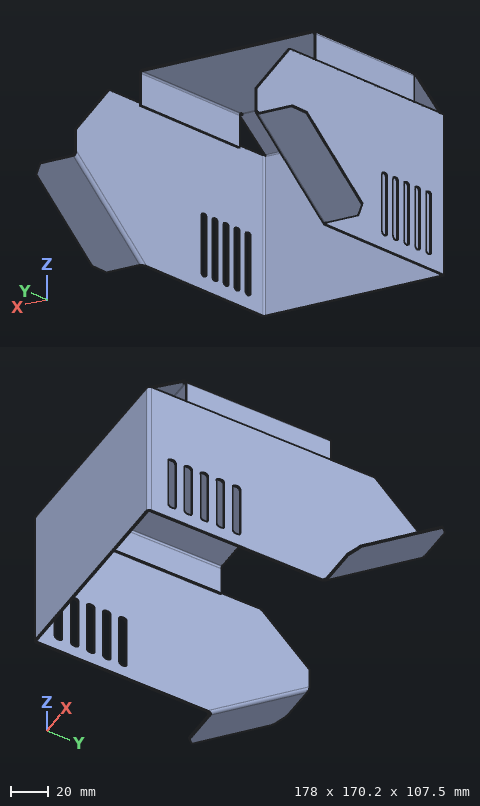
import cadquery as cq
import math

thickness = 1.0
inner_radius = 1.0
outer_radius = inner_radius + thickness

total_width = 178.0
total_depth = 170.2
half_width = 60.0
wall_height = 89.9
rear_chamfer = 29.9

slot_count = 5
slot_pitch = 10.0
slot_width = 4.8
slot_length = 35.0
slot_corner_radius = 2.0
first_slot_y = 15.0
slot_bottom_z = 8.0

total_height = 107.5
front_bend_z = 90.2
hood_front_y = 24.5
hood_rear_y = 114.5
hood_base_z = wall_height - outer_radius
hood_half_width = half_width - outer_radius
flap_height = 20.0
hood_slope = math.atan2(total_height - front_bend_z, hood_front_y)
hood_bend_reach = outer_radius * math.tan(hood_slope / 2)

flange_rise = 45.2
flange_run = 60.0
flange_chamfer = 6.0
flange_angle = math.degrees(math.atan2(flange_rise, flange_run))
flange_length = math.hypot(flange_rise, flange_run)
flange_start_y = total_depth - flange_run
flange_inner_x = half_width + inner_radius
flange_outer_x = total_width / 2


def centred_box(width, y_start, y_end, z_start, z_end):
    """Box that is symmetric about X = 0."""
    box = cq.Workplane("XY").box(width, y_end - y_start, z_end - z_start, centered=(True, False, False))
    return box.translate((0, y_start, z_start))


def side_outline():
    """Side wall shape, cut off along the line where the flange bend begins."""
    slope = math.radians(flange_angle)
    bend_start_y = flange_start_y - outer_radius / math.sin(slope)
    bend_end_z = flange_rise + outer_radius / math.cos(slope)
    return (
        cq.Workplane("YZ")
        .polyline(
            [
                (0, 0),
                (bend_start_y, 0),
                (total_depth, bend_end_z),
                (total_depth, wall_height - rear_chamfer),
                (total_depth - rear_chamfer, wall_height),
                (0, wall_height),
            ]
        )
        .close()
        .extrude(half_width, both=True)
    )


def make_walls():
    outside = centred_box(2 * half_width, 0, total_depth, 0, wall_height)
    outside = outside.edges("|Z and <Y").fillet(outer_radius)
    inside = centred_box(2 * (half_width - thickness), thickness, total_depth, 0, wall_height)
    inside = inside.edges("|Z and <Y").fillet(inner_radius)
    walls = outside.cut(inside).intersect(side_outline())
    front_top = centred_box(2 * hood_half_width, 0, outer_radius, hood_base_z, wall_height)
    return walls.cut(front_top)


def hood_profile(offset, bend_radius):
    """Solid under the front wall, slope and level top, moved inward by the offset."""
    front_bend = math.pi / 2 - hood_slope
    front_y = offset
    front_z = front_bend_z - offset * math.tan(front_bend / 2)
    top_y = hood_front_y + offset * math.tan(hood_slope / 2)
    top_z = total_height - offset
    solid = (
        cq.Workplane("YZ")
        .polyline(
            [
                (front_y, hood_base_z),
                (front_y, front_z),
                (top_y, top_z),
                (hood_rear_y, top_z),
                (hood_rear_y, hood_base_z),
            ]
        )
        .close()
        .extrude(hood_half_width, both=True)
    )
    for y, z in ((front_y, front_z), (top_y, top_z)):
        solid = solid.edges(cq.NearestToPointSelector((0, y, z))).fillet(bend_radius)
    return solid


def make_hood():
    panel = hood_profile(0, outer_radius).cut(hood_profile(thickness, inner_radius))
    flap_start_y = hood_front_y + hood_bend_reach
    slope_end_y = hood_front_y - hood_bend_reach * math.cos(hood_slope)
    slope_zone = centred_box(2 * hood_half_width, 0, slope_end_y, 0, total_height)
    flat_zone = centred_box(2 * (hood_half_width - outer_radius), 0, hood_rear_y, 0, total_height)
    panel = panel.intersect(slope_zone.union(flat_zone))

    flap_bottom_z = total_height - flap_height
    inside_half_width = hood_half_width - thickness
    inside_top_z = total_height - thickness
    outside = centred_box(2 * hood_half_width, flap_start_y, hood_rear_y, flap_bottom_z, total_height)
    outside = outside.edges("|Y and >Z").fillet(outer_radius)
    inside = centred_box(2 * inside_half_width, flap_start_y, hood_rear_y, flap_bottom_z, inside_top_z)
    inside = inside.edges("|Y and >Z").fillet(inner_radius)
    return panel.union(outside.cut(inside))


def place_on_slope(solid):
    """Tilt a solid built along +Y so that it lies on the sloping edge."""
    return solid.rotate((0, 0, 0), (1, 0, 0), flange_angle).translate((0, flange_start_y, 0))


def make_flange():
    """Flange on the +X side, with the bend that joins it to the side wall."""
    plate = (
        cq.Workplane("XY")
        .box(flange_outer_x - flange_inner_x, flange_length, thickness, centered=False)
        .translate((flange_inner_x, 0, 0))
        .edges("|Z and >X")
        .chamfer(flange_chamfer)
    )
    bend_length = 2 * flange_length
    bend = (
        cq.Workplane("XZ")
        .center(flange_inner_x, outer_radius)
        .circle(outer_radius)
        .circle(inner_radius)
        .extrude(bend_length, both=True)
    )
    quarter = centred_box(outer_radius, -bend_length, bend_length, 0, outer_radius)
    bend = bend.intersect(quarter.translate((flange_inner_x - outer_radius / 2, 0, 0)))
    wall_limits = centred_box(total_width, 0, total_depth, 0, wall_height)
    return place_on_slope(plate).union(place_on_slope(bend).intersect(wall_limits))


def make_slots():
    slots = cq.Workplane("XY")
    slot_top_z = slot_bottom_z + slot_length
    for index in range(slot_count):
        y = first_slot_y + index * slot_pitch
        slot = centred_box(total_width, y - slot_width / 2, y + slot_width / 2, slot_bottom_z, slot_top_z)
        slots = slots.add(slot.edges("|X").fillet(slot_corner_radius))
    return slots.combine()


flange = make_flange()
result = make_walls().cut(make_slots()).union(make_hood())
result = result.union(flange).union(flange.mirror("YZ"))